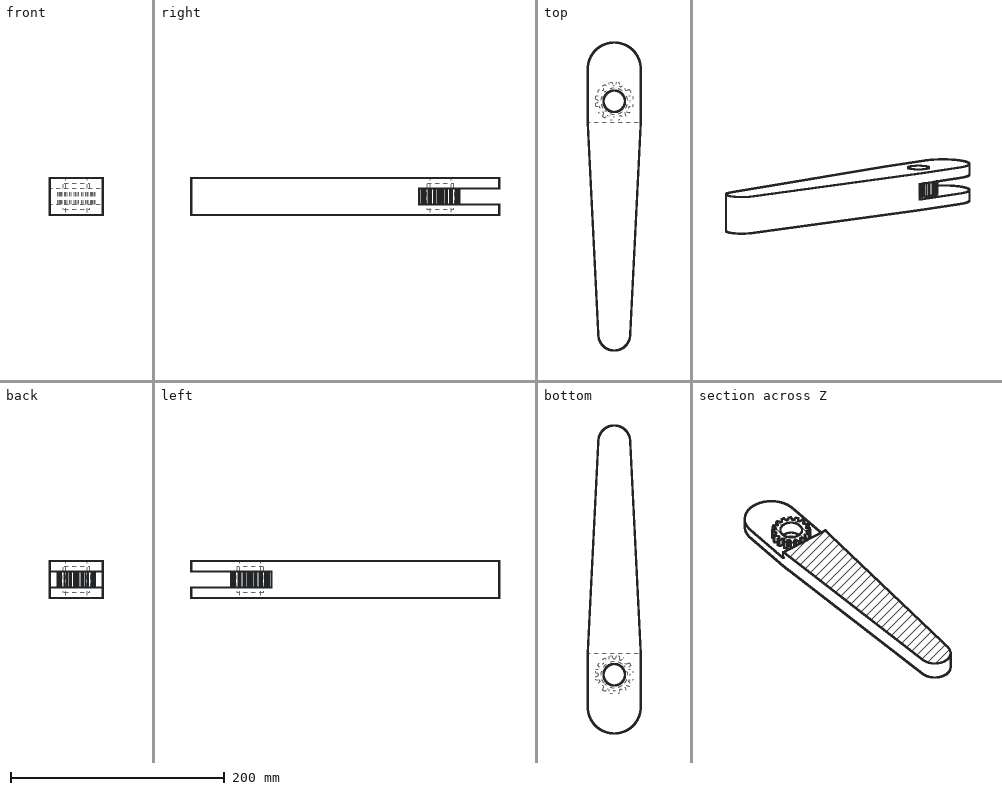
import cadquery as cq
import math

total_length = 288.5
head_width = 50.0
thickness = 35.0
tip_radius = 15.0
end_to_bore = 55.0
end_to_taper = 75.0
plate_thickness = 10.0
bore_diameter = 20.0

tooth_count = 16
outer_diameter = 35.8
root_diameter = 29.5
tip_width = 2.5
tooth_root_width = 4.3
journal_length = 5.0
journal_diameter = 24.8

head_radius = head_width / 2
fork_gap = thickness - 2 * plate_thickness
taper_y = end_to_bore - end_to_taper
journal_bottom = plate_thickness - journal_length
journal_height = fork_gap + 2 * journal_length

tooth_pitch = 2 * math.pi / tooth_count
outer_radius = outer_diameter / 2
root_radius = root_diameter / 2
half_tip_angle = math.asin(tip_width / outer_diameter)
half_root_angle = math.asin(tooth_root_width / root_diameter)


def polar(radius, angle):
    return (radius * math.cos(angle), radius * math.sin(angle))


def mirrored(point):
    return (-point[0], point[1])


def cylinder(diameter, bottom, height):
    """Cylinder on the bore axis."""
    return cq.Workplane("XY").workplane(offset=bottom).circle(diameter / 2).extrude(height)


def make_handle():
    head_center_y = end_to_bore - head_radius
    tip_end_y = end_to_bore - total_length
    tip_center_y = tip_end_y + tip_radius

    drop = taper_y - tip_center_y
    corner_distance = math.hypot(head_radius, drop)
    corner_angle = math.atan2(drop, head_radius)
    tangent_angle = corner_angle - math.acos(tip_radius / corner_distance)
    tangent_x, tangent_offset_y = polar(tip_radius, tangent_angle)
    tangent_point = (tangent_x, tip_center_y + tangent_offset_y)

    head_point = (head_radius, head_center_y)
    taper_point = (head_radius, taper_y)
    arm = (
        cq.Workplane("XY")
        .moveTo(*head_point)
        .threePointArc((0, end_to_bore), mirrored(head_point))
        .lineTo(*mirrored(taper_point))
        .lineTo(*mirrored(tangent_point))
        .threePointArc((0, tip_end_y), tangent_point)
        .lineTo(*taper_point)
        .close()
        .extrude(thickness)
    )
    fork_slot = (
        cq.Workplane("XY", origin=(0, taper_y + end_to_taper / 2, plate_thickness))
        .rect(head_width, end_to_taper)
        .extrude(fork_gap)
    )
    bore = cylinder(bore_diameter, 0, thickness)
    journal_seats = cylinder(journal_diameter, journal_bottom, journal_height)
    return arm.cut(fork_slot).cut(bore).cut(journal_seats)


def make_gear():
    first_tooth_angle = tooth_pitch / 2
    outline = cq.Workplane("XY").moveTo(*polar(root_radius, first_tooth_angle - half_root_angle))
    for i in range(tooth_count):
        tooth_angle = first_tooth_angle + i * tooth_pitch
        next_tooth_angle = tooth_angle + tooth_pitch
        outline = (
            outline.lineTo(*polar(outer_radius, tooth_angle - half_tip_angle))
            .threePointArc(
                polar(outer_radius, tooth_angle),
                polar(outer_radius, tooth_angle + half_tip_angle),
            )
            .lineTo(*polar(root_radius, tooth_angle + half_root_angle))
            .threePointArc(
                polar(root_radius, tooth_angle + tooth_pitch / 2),
                polar(root_radius, next_tooth_angle - half_root_angle),
            )
        )
    toothed_disc = outline.close().extrude(fork_gap).translate((0, 0, plate_thickness))
    journals = cylinder(journal_diameter, journal_bottom, journal_height)
    bore = cylinder(bore_diameter, journal_bottom, journal_height)
    return toothed_disc.union(journals).cut(bore)


handle = make_handle()
gear = make_gear()

result = cq.Compound.makeCompound([handle.val(), gear.val()])